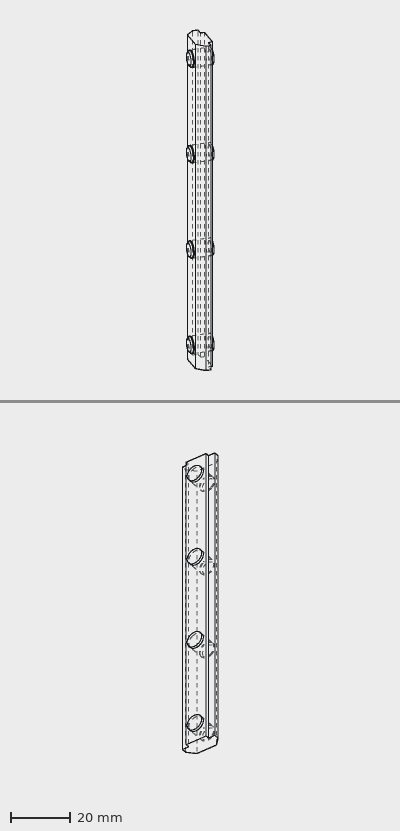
import cadquery as cq

rail_length = 120.0
rail_width = 13.5
rail_depth = 6.1
neck_width = 8.3
neck_depth = 1.5
front_width = 8.2
bevel_depth = 2.8

screw_count = 4
screw_pitch = 35.3
screw_diameter = 6.0
screw_protrusion = 1.0
tip_chamfer = 0.6

screw_length = rail_depth + 2 * screw_protrusion
first_screw_z = (rail_length - (screw_count - 1) * screw_pitch) / 2
screw_heights = [first_screw_z + i * screw_pitch for i in range(screw_count)]


def make_screw_cylinder(z):
    """Plain cylinder along +Y, starting in front of the rail's front face at Y = 0."""
    return (
        cq.Workplane("XZ", origin=(0, -screw_protrusion, z))
        .circle(screw_diameter / 2)
        .extrude(-screw_length)
    )


def make_screw(z):
    """Set screw with a chamfered front tip."""
    return make_screw_cylinder(z).faces("<Y").chamfer(tip_chamfer)


def make_rail():
    """T-slot rail with one through hole for each screw."""
    half_width = rail_width / 2
    half_neck = neck_width / 2
    half_front = front_width / 2
    shoulder_y = rail_depth - neck_depth
    rail = (
        cq.Workplane("XY")
        .moveTo(-half_front, 0)
        .lineTo(half_front, 0)
        .lineTo(half_width, bevel_depth)
        .lineTo(half_width, shoulder_y)
        .lineTo(half_neck, shoulder_y)
        .lineTo(half_neck, rail_depth)
        .lineTo(-half_neck, rail_depth)
        .lineTo(-half_neck, shoulder_y)
        .lineTo(-half_width, shoulder_y)
        .lineTo(-half_width, bevel_depth)
        .close()
        .extrude(rail_length)
    )
    for z in screw_heights:
        rail = rail.cut(make_screw_cylinder(z))
    return rail


rail = make_rail()
screws = [make_screw(z) for z in screw_heights]

result = cq.Compound.makeCompound([rail.val(), *[screw.val() for screw in screws]])